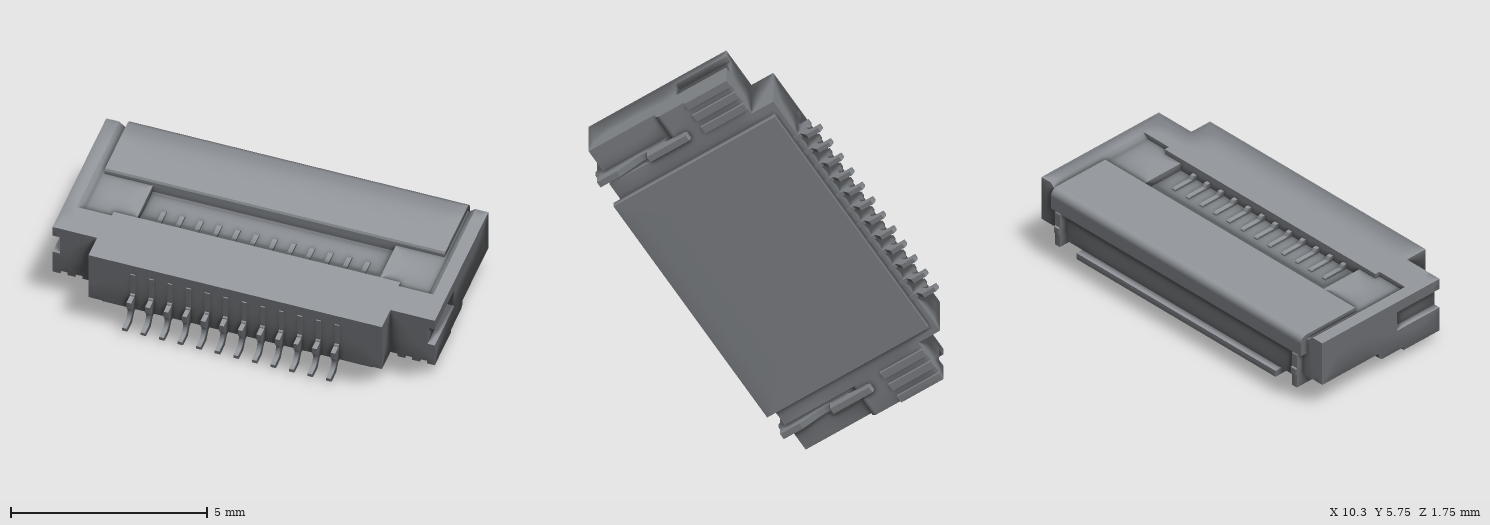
import cadquery as cq


length = 10.3
top_z = 1.75
body_bottom_z = 0.25
back_y = 4.81
wing_front_y = 0.66
nose_length = 7.91
center_length = 8.3
wing_back_bottom_z = 0.46
wing_step_y = 2.8
wing_step_radius = 0.14

base_length = 7.29
base_bottom_z = 0.06
base_front_y = 0.15
cover_back_y = 5.02

foot_bottom_z = 0.15
foot_back_y = 1.93
foot_width = 0.21
foot_pitch = 0.4
feet_per_wing = 3

end_slot_depth = 0.2
end_slot_bottom_z = 0.87
end_slot_top_z = 1.44
end_slot_back_y = 2.17

pocket_floor_z = 1.61
pocket_top_length = 9.6
pocket_floor_length = 9.27
pocket_front_y = 1.55
pocket_ledge_y = 1.69
pocket_ledge_length = 7.72

recess_length = 6.55
recess_floor_z = 1.39
recess_lip_z = 1.43
recess_lip_y = 3.01
recess_back_y = 2.94

cover_length = 9.17
cover_front_y = 3.1
cover_bottom_z = 1.16
cover_edge_y = 3.06
cover_edge_z = 1.7
cover_radius = cover_back_y - back_y

contact_count = 12
contact_row_length = 5.5
contact_pitch = contact_row_length / (contact_count - 1)
contact_width = 0.12
contact_rib_y = -0.03
contact_rib_top_z = 1.45
shoulder_y = -0.34
shoulder_z = 0.74
shoulder_bottom_z = 0.53
shoulder_radius = 0.05
neck_y = -0.27
neck_top_z = 0.46
contact_arm_bottom_z = 0.23
contact_arm_end_y = -0.09
tail_tip_y = -0.69
tail_bend_y = -0.47
tail_heel_y = -0.26
tail_thickness = 0.16
tail_tip_chamfer = 0.07
tail_bend_radius = 0.24
blade_tip_y = 2.44
blade_tip_z = 1.42
blade_shoulder_y = 2.38
blade_low_z = 1.45
blade_ramp_low_y = 1.85
blade_ramp_high_y = 1.79
blade_high_z = 1.55

tab_center_x = 4.35
tab_width = 0.18
tab_root_z = 0.62
tab_radius = 0.07
tab_bump_y = 5.06
tab_bump_bottom_z = 0.49
tab_bump_top_z = 0.72
tab_bump_rise = 0.02
tab_heel_z = 0.12
tab_arch_start_y = 4.43
tab_arch_middle_y = 3.91
tab_arch_top_y = 3.71
tab_arch_top_z = 0.28
tab_foot_back_y = 3.51
tab_foot_front_y = 2.3
tab_foot_chamfer = 0.04
tab_toe_z = 0.16
tab_toe_run = 0.14
tab_notch_y = 2.89
tab_notch_radius = 0.11


def block(x_size, y0, y1, z0, z1, x_center=0.0):
    """Box centred on x_center, spanning y0..y1 and z0..z1."""
    box = cq.Workplane("XY").box(x_size, y1 - y0, z1 - z0, centered=(True, False, False))
    return box.translate((x_center, y0, z0))


def extrude_profile(profile, width, x_center=0.0):
    """Extrude a closed YZ profile symmetrically about x_center."""
    return profile.extrude(width / 2, both=True).translate((x_center, 0, 0))


def side_sketch(y, z):
    """Start a YZ profile at the given point."""
    return cq.Workplane("YZ").moveTo(y, z)


def leaning_face_y(z):
    """Y of the leaning plane shared by the cover front and the recess back wall."""
    lean = (cover_edge_y - recess_lip_y) / (cover_edge_z - recess_lip_z)
    return recess_lip_y + lean * (z - recess_lip_z)


def make_housing():
    """Wings, centre, nose and base plate, with the end slots and wing feet."""
    wings = extrude_profile(
        side_sketch(wing_front_y, top_z)
        .lineTo(wing_front_y, body_bottom_z)
        .lineTo(wing_step_y - wing_step_radius, body_bottom_z)
        .radiusArc((wing_step_y, body_bottom_z + wing_step_radius), -wing_step_radius)
        .lineTo(wing_step_y, wing_back_bottom_z)
        .lineTo(back_y, wing_back_bottom_z)
        .lineTo(back_y, top_z)
        .close(),
        length,
    )
    center = block(center_length, wing_front_y, back_y, body_bottom_z, top_z)
    nose = block(nose_length, 0, wing_front_y, body_bottom_z, top_z)
    base = block(base_length, base_front_y, cover_back_y, base_bottom_z, body_bottom_z)
    housing = wings.union(center).union(nose).union(base)

    for side in (-1, 1):
        slot_x = side * (length - end_slot_depth) / 2
        housing = housing.cut(
            block(end_slot_depth, wing_front_y, end_slot_back_y, end_slot_bottom_z, end_slot_top_z, slot_x)
        )
        for index in range(feet_per_wing):
            foot_x = side * ((length - foot_width) / 2 - index * foot_pitch)
            housing = housing.union(
                block(foot_width, wing_front_y, foot_back_y, foot_bottom_z, body_bottom_z, foot_x)
            )
    return housing


def make_pocket():
    """Volume removed from the top, less the ledge along its front edge."""
    pocket = (
        cq.Workplane("XZ", origin=(0, pocket_front_y, 0))
        .moveTo(-pocket_floor_length / 2, pocket_floor_z)
        .lineTo(pocket_floor_length / 2, pocket_floor_z)
        .lineTo(pocket_top_length / 2, top_z)
        .lineTo(-pocket_top_length / 2, top_z)
        .close()
        .extrude(pocket_front_y - back_y)
    )
    ledge = block(pocket_ledge_length, pocket_front_y, pocket_ledge_y, pocket_floor_z, top_z)
    return pocket.cut(ledge)


def make_recess():
    """Volume removed from the pocket floor around the contact blades."""
    return extrude_profile(
        side_sketch(pocket_ledge_y, pocket_floor_z)
        .lineTo(pocket_ledge_y, recess_floor_z)
        .lineTo(recess_back_y, recess_floor_z)
        .lineTo(recess_lip_y, recess_lip_z)
        .lineTo(leaning_face_y(pocket_floor_z), pocket_floor_z)
        .close(),
        recess_length,
    )


def make_cover():
    """Plate in the pocket with a rounded lip hanging over the back."""
    return extrude_profile(
        side_sketch(cover_front_y, top_z)
        .lineTo(cover_edge_y, cover_edge_z)
        .lineTo(leaning_face_y(pocket_floor_z), pocket_floor_z)
        .lineTo(back_y, pocket_floor_z)
        .lineTo(back_y, cover_bottom_z)
        .lineTo(cover_back_y, cover_bottom_z)
        .lineTo(cover_back_y, top_z - cover_radius)
        .radiusArc((back_y, top_z), -cover_radius)
        .close(),
        cover_length,
    )


def make_contact(x_center):
    """One contact: the solder tail outside the nose and the blade inside the recess."""
    tail = extrude_profile(
        side_sketch(base_front_y, contact_rib_top_z)
        .lineTo(contact_rib_y, contact_rib_top_z)
        .lineTo(contact_rib_y, shoulder_z + shoulder_radius)
        .radiusArc((contact_rib_y - shoulder_radius, shoulder_z), -shoulder_radius)
        .lineTo(shoulder_y, shoulder_z)
        .lineTo(shoulder_y, shoulder_bottom_z)
        .lineTo(neck_y, neck_top_z)
        .radiusArc((tail_bend_y, tail_thickness), tail_bend_radius)
        .lineTo(tail_tip_y, tail_thickness)
        .lineTo(tail_tip_y, tail_tip_chamfer)
        .lineTo(tail_tip_y + tail_tip_chamfer, 0)
        .lineTo(tail_heel_y, 0)
        .lineTo(contact_arm_end_y, contact_arm_bottom_z)
        .lineTo(base_front_y, contact_arm_bottom_z)
        .close(),
        contact_width,
        x_center,
    )
    blade = extrude_profile(
        side_sketch(pocket_ledge_y, recess_floor_z)
        .lineTo(blade_tip_y, recess_floor_z)
        .lineTo(blade_tip_y, blade_tip_z)
        .lineTo(blade_shoulder_y, blade_low_z)
        .lineTo(blade_ramp_low_y, blade_low_z)
        .lineTo(blade_ramp_high_y, blade_high_z)
        .lineTo(pocket_ledge_y, blade_high_z)
        .close(),
        contact_width,
        x_center,
    )
    return tail.union(blade)


def make_tab(x_center):
    """L-shaped hold-down tab behind and below one wing, with a solder foot."""
    return extrude_profile(
        side_sketch(back_y, cover_bottom_z)
        .lineTo(cover_back_y - tab_radius, cover_bottom_z)
        .radiusArc((cover_back_y, cover_bottom_z - tab_radius), tab_radius)
        .lineTo(cover_back_y, tab_bump_top_z)
        .lineTo(tab_bump_y, tab_bump_top_z - tab_bump_rise)
        .lineTo(tab_bump_y, tab_bump_bottom_z + tab_bump_rise)
        .lineTo(cover_back_y, tab_bump_bottom_z)
        .lineTo(cover_back_y, tab_heel_z)
        .lineTo(tab_arch_start_y, tab_heel_z)
        .lineTo(tab_arch_middle_y, body_bottom_z)
        .lineTo(tab_arch_top_y, tab_arch_top_z)
        .lineTo(tab_foot_back_y, tab_arch_top_z)
        .lineTo(tab_foot_back_y, 0)
        .lineTo(tab_foot_front_y + tab_foot_chamfer, 0)
        .lineTo(tab_foot_front_y, tab_foot_chamfer)
        .lineTo(tab_foot_front_y, tab_toe_z)
        .lineTo(tab_foot_front_y + tab_toe_run, body_bottom_z)
        .lineTo(tab_notch_y, body_bottom_z)
        .radiusArc((tab_notch_y, wing_back_bottom_z), -tab_notch_radius)
        .lineTo(tab_notch_y, tab_root_z)
        .lineTo(back_y, tab_root_z)
        .close(),
        tab_width,
        x_center,
    )


result = make_housing().cut(make_pocket()).cut(make_recess()).union(make_cover())
for index in range(contact_count):
    result = result.union(make_contact(index * contact_pitch - contact_row_length / 2))
for side in (-1, 1):
    result = result.union(make_tab(side * tab_center_x))